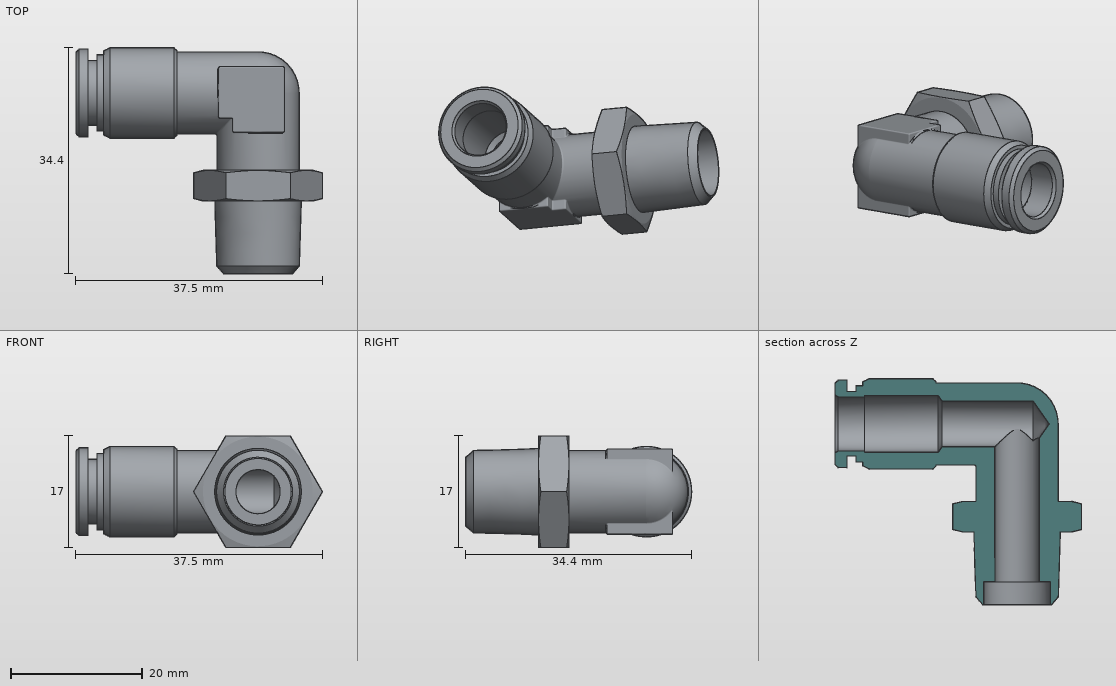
import cadquery as cq
import math


BODY_RADIUS = 6.27

ARM_END = 27.71
RELEASE_RING_WIDTH = 1.88
RELEASE_RING_RADIUS = 6.7
RELEASE_RING_CHAMFER = 0.5
RELEASE_NECK_RADIUS = 4.95
COLLAR_START = 24.5
COLLAR_RADIUS = 5.83
SLEEVE_START = 23.5
SLEEVE_END = 12.3
SLEEVE_RADIUS = 6.9
SLEEVE_FRONT_CHAMFER_LENGTH = 1.0
SLEEVE_FRONT_CHAMFER_DEPTH = 0.5
SLEEVE_BACK_CHAMFER = 0.5

TUBE_MOUTH_RADIUS = 4.4
TUBE_MOUTH_CHAMFER_LENGTH = 0.5
RELEASE_BORE_RADIUS = 4.1
RELEASE_BORE_END = 23.2
SOCKET_RADIUS = 4.3
TUBE_STOP = 12.0
ARM_BORE_RADIUS = 3.45
ARM_BORE_OVERRUN = 2.45
DRILL_POINT_ANGLE = 110.0

HEX_ACROSS_FLATS = 17.0
HEX_START = 11.75
HEX_END = 16.45
HEX_CHAMFER_RADIUS = 8.35
HEX_CHAMFER_ANGLE = 15.0
THREAD_END = 27.5
THREAD_TOP_RADIUS = 6.6
THREAD_TIP_RADIUS = 6.3
THREAD_CHAMFER_LENGTH = 1.2
THREAD_CHAMFER_DEPTH = 1.05

COUNTERBORE_RADIUS = 5.05
COUNTERBORE_DEPTH = 3.5
THREAD_BORE_RADIUS = 3.36

PAD_OUTER = 4.0
PAD_INNER = 6.0
PAD_NOTCH = 3.85
PAD_HEIGHT = 6.5
CAST_FILLET = 0.2
SELECTION_MARGIN = 0.1


def revolve_about_x(points):
    """Turn an (axial, radius) outline about the tube arm, which points along -X."""
    outline = cq.Workplane("XY").polyline([(-axial, radius) for axial, radius in points]).close()
    return outline.revolve(360, (0, 0, 0), (1, 0, 0))


def revolve_about_y(points):
    """Turn an (axial, radius) outline about the thread axis, which points along -Y."""
    outline = cq.Workplane("XY").polyline([(radius, -axial) for axial, radius in points]).close()
    return outline.revolve(360, (0, 0, 0), (0, 1, 0))


def make_elbow_body():
    """Two round limbs joined by a ball at the outer corner, with the pads and all cast fillets."""
    tube_limb = cq.Workplane("YZ").circle(BODY_RADIUS).extrude(-SLEEVE_END)
    thread_limb = cq.Workplane("XZ").circle(BODY_RADIUS).extrude(HEX_START)
    outer_corner = cq.Workplane("XY").sphere(BODY_RADIUS)
    body = tube_limb.union(thread_limb).union(outer_corner).union(make_pad_block())

    inner_limit = -(BODY_RADIUS + SELECTION_MARGIN)
    outer_limit = PAD_OUTER + SELECTION_MARGIN
    height_limit = PAD_HEIGHT - SELECTION_MARGIN
    feet_and_crease = cq.selectors.BoxSelector(
        (inner_limit, inner_limit, -height_limit),
        (outer_limit, outer_limit, height_limit),
        boundingbox=True,
    )
    pad_corners = cq.selectors.ParallelDirSelector(cq.Vector(0, 0, 1))
    body = body.edges(feet_and_crease + pad_corners).fillet(CAST_FILLET)
    return body.faces("<Z or >Z").edges().fillet(CAST_FILLET)


def make_sleeve_and_release_ring():
    ring_back = ARM_END - RELEASE_RING_WIDTH
    return revolve_about_x([
        (SLEEVE_END, 0),
        (SLEEVE_END, SLEEVE_RADIUS - SLEEVE_BACK_CHAMFER),
        (SLEEVE_END + SLEEVE_BACK_CHAMFER, SLEEVE_RADIUS),
        (SLEEVE_START - SLEEVE_FRONT_CHAMFER_LENGTH, SLEEVE_RADIUS),
        (SLEEVE_START, SLEEVE_RADIUS - SLEEVE_FRONT_CHAMFER_DEPTH),
        (SLEEVE_START, COLLAR_RADIUS),
        (COLLAR_START, COLLAR_RADIUS),
        (COLLAR_START, RELEASE_NECK_RADIUS),
        (ring_back, RELEASE_NECK_RADIUS),
        (ring_back, RELEASE_RING_RADIUS),
        (ARM_END - RELEASE_RING_CHAMFER, RELEASE_RING_RADIUS),
        (ARM_END, RELEASE_RING_RADIUS - RELEASE_RING_CHAMFER),
        (ARM_END, 0),
    ])


def make_thread():
    return revolve_about_y([
        (HEX_END, 0),
        (HEX_END, THREAD_TOP_RADIUS),
        (THREAD_END - THREAD_CHAMFER_LENGTH, THREAD_TIP_RADIUS),
        (THREAD_END, THREAD_TIP_RADIUS - THREAD_CHAMFER_DEPTH),
        (THREAD_END, 0),
    ])


def make_hexagon():
    across_corners = HEX_ACROSS_FLATS / math.cos(math.radians(30))
    corner_radius = across_corners / 2
    drop = (corner_radius - HEX_CHAMFER_RADIUS) * math.tan(math.radians(HEX_CHAMFER_ANGLE))
    prism = (
        cq.Workplane("XZ", origin=(0, -HEX_START, 0))
        .polygon(6, across_corners)
        .extrude(HEX_END - HEX_START)
    )
    corner_envelope = revolve_about_y([
        (HEX_START, 0),
        (HEX_START, HEX_CHAMFER_RADIUS),
        (HEX_START + drop, corner_radius),
        (HEX_END - drop, corner_radius),
        (HEX_END, HEX_CHAMFER_RADIUS),
        (HEX_END, 0),
    ])
    return prism.intersect(corner_envelope)


def make_pad_block():
    """One notched block through the elbow; its two ends stand proud as the pads."""
    return (
        cq.Workplane("XY", origin=(0, 0, -PAD_HEIGHT))
        .polyline([
            (PAD_OUTER, PAD_OUTER),
            (-PAD_INNER, PAD_OUTER),
            (-PAD_INNER, -PAD_NOTCH),
            (-PAD_NOTCH, -PAD_NOTCH),
            (-PAD_NOTCH, -PAD_INNER),
            (PAD_OUTER, -PAD_INNER),
        ])
        .close()
        .extrude(2 * PAD_HEIGHT)
    )


def make_tube_bore():
    cone_slope = 1 / math.tan(math.radians(DRILL_POINT_ANGLE / 2))
    stop_cone_length = (SOCKET_RADIUS - ARM_BORE_RADIUS) * cone_slope
    drill_point_length = ARM_BORE_RADIUS * cone_slope
    return revolve_about_x([
        (ARM_END, 0),
        (ARM_END, TUBE_MOUTH_RADIUS),
        (ARM_END - TUBE_MOUTH_CHAMFER_LENGTH, RELEASE_BORE_RADIUS),
        (RELEASE_BORE_END, RELEASE_BORE_RADIUS),
        (RELEASE_BORE_END, SOCKET_RADIUS),
        (TUBE_STOP, SOCKET_RADIUS),
        (TUBE_STOP - stop_cone_length, ARM_BORE_RADIUS),
        (-ARM_BORE_OVERRUN, ARM_BORE_RADIUS),
        (-ARM_BORE_OVERRUN - drill_point_length, 0),
    ])


def make_thread_bore():
    counterbore_floor = THREAD_END - COUNTERBORE_DEPTH
    return revolve_about_y([
        (0, 0),
        (0, THREAD_BORE_RADIUS),
        (counterbore_floor, THREAD_BORE_RADIUS),
        (counterbore_floor, COUNTERBORE_RADIUS),
        (THREAD_END, COUNTERBORE_RADIUS),
        (THREAD_END, 0),
    ])


result = (
    make_elbow_body()
    .union(make_sleeve_and_release_ring())
    .union(make_hexagon())
    .union(make_thread())
    .cut(make_tube_bore())
    .cut(make_thread_bore())
)